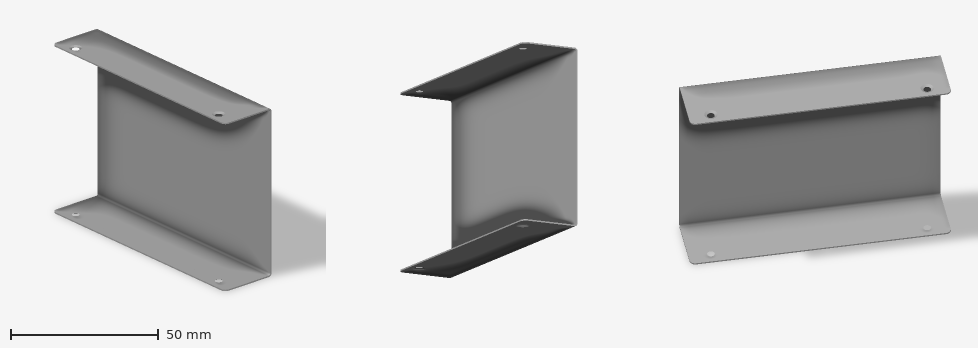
import cadquery as cq

length = 90.0
depth = 20.9
height = 62.0
thickness = 0.5
inner_bend_radius = 0.75
outer_bend_radius = inner_bend_radius + thickness
corner_radius = 2.0

hole_diameter = 2.6
countersink_diameter = 4.5
hole_end_inset = 7.7
hole_edge_inset = 4.0

front_y = -depth / 2
hole_x = length / 2 - hole_end_inset
hole_y = front_y + hole_edge_inset


def rounded_bar(size_y, size_z, bend_radius):
    """Full-length block rounded along its two back edges."""
    block = cq.Workplane("XY").box(length, size_y, size_z)
    return block.edges("|X and >Y").fillet(bend_radius)


def make_channel():
    outside = rounded_bar(depth, height, outer_bend_radius)
    inside = rounded_bar(depth, height - 2 * thickness, inner_bend_radius)
    channel = outside.cut(inside.translate((0, -thickness, 0)))
    return channel.edges("|Z and <Y").fillet(corner_radius)


def countersink_cutter(x, side):
    """Cone narrowing from a flange's outer face to its inner face (side: +1 top, -1 bottom)."""
    return cq.Workplane(
        cq.Solid.makeCone(
            countersink_diameter / 2,
            hole_diameter / 2,
            thickness,
            pnt=cq.Vector(x, hole_y, side * height / 2),
            dir=cq.Vector(0, 0, -side),
        )
    )


result = make_channel()
for hole_side in (1, -1):
    for x in (-hole_x, hole_x):
        result = result.cut(countersink_cutter(x, hole_side))